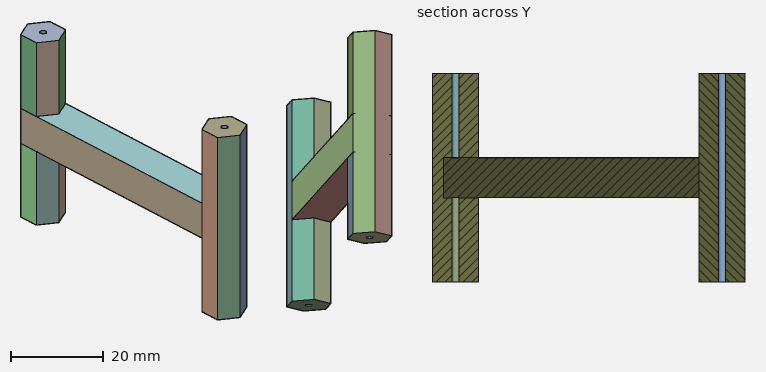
import cadquery as cq
import math

overall_length = 67.5
post_height = 45.0
across_flats = 8.65
hole_diameter = 1.5

across_corners = across_flats / math.cos(math.radians(30))
post_offset = (overall_length - across_corners) / 2
half_flat_width = across_corners / 4
bar_end = post_offset + half_flat_width


def hexagonal_prism(x_center):
    """Upright hexagonal prism with corners pointing along X."""
    return (
        cq.Workplane("XY")
        .center(x_center, 0)
        .polygon(6, across_corners)
        .extrude(post_height / 2, both=True)
    )


def make_post(x_center):
    """Hexagonal post with an axial through hole."""
    hole = (
        cq.Workplane("XY")
        .center(x_center, 0)
        .circle(hole_diameter / 2)
        .extrude(post_height / 2, both=True)
    )
    return hexagonal_prism(x_center).cut(hole).solids()


def make_crossbar():
    """Square bar: flat at the left end, notched around the right post."""
    bar = cq.Workplane("XY").box(2 * bar_end, across_flats, across_flats)
    return bar.cut(hexagonal_prism(post_offset)).solids("<X")


crossbar = make_crossbar()

posts = [make_post(x_center) for x_center in (-post_offset, post_offset)]
left_post = posts[0].cut(crossbar).solids()
right_post = posts[1]

result = cq.Compound.makeCompound([left_post.val(), right_post.val(), crossbar.val()])